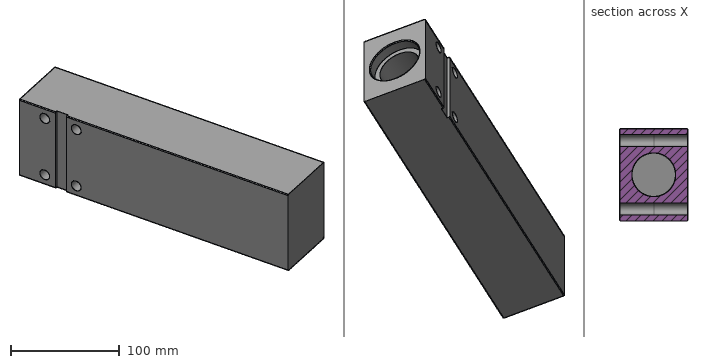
import cadquery as cq

length = 291
width = 63.0
height = 85.0
edge_chamfer = 1.0

bore_diameter = 40.0
counterbore_diameter = 50.0
counterbore_depth = 10.0
mouth_chamfer = 1.0
end_wall = 20.5
bore_depth = length - end_wall

slot_start = 39.0
slot_width = 12.0
slot_depth = 2.5

mount_hole_diameter = 10.5
mount_hole_positions = (27.5, 61.7)
mount_hole_spacing_z = 63.0


def make_block():
    """Rectangular block with its four long edges chamfered."""
    block = cq.Workplane("XY").box(length, width, height, centered=(False, True, True))
    return block.edges("|X").chamfer(edge_chamfer)


def make_bore():
    """Stepped bore with a conical lead-in, revolved about the X axis."""
    bore_radius = bore_diameter / 2
    counterbore_radius = counterbore_diameter / 2
    return (
        cq.Workplane("XY")
        .moveTo(0, 0)
        .lineTo(0, counterbore_radius + mouth_chamfer)
        .lineTo(mouth_chamfer, counterbore_radius)
        .lineTo(counterbore_depth, counterbore_radius)
        .lineTo(counterbore_depth, bore_radius)
        .lineTo(bore_depth, bore_radius)
        .lineTo(bore_depth, 0)
        .close()
        .revolve(360, (0, 0, 0), (1, 0, 0))
    )


def make_slot():
    """Shallow slot running the full height of the -Y face."""
    return (
        cq.Workplane("XY")
        .box(slot_width, slot_depth, height, centered=(False, False, True))
        .translate((slot_start, -width / 2, 0))
    )


def make_mount_holes():
    """Two pairs of through holes, above and below the bore."""
    centres = [
        (x, side * mount_hole_spacing_z / 2)
        for x in mount_hole_positions
        for side in (-1, 1)
    ]
    return (
        cq.Workplane("XZ")
        .pushPoints(centres)
        .circle(mount_hole_diameter / 2)
        .extrude(width / 2, both=True)
    )


result = make_block().cut(make_bore()).cut(make_slot()).cut(make_mount_holes())